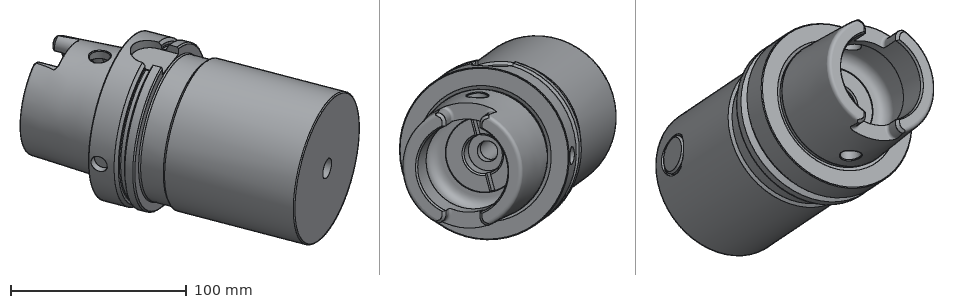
import cadquery as cq
import math

TOTAL_LENGTH = 176.9
PASSAGE_DIA = 12.0

SHANK_LENGTH = 50.0
NOSE_RADIUS = 70.4 / 2
NOSE_ROUND = 2.3
CONE_END_X = 47.2
CONE_END_RADIUS = 75.4 / 2
LAND_END_X = 48.3
RELIEF_RADIUS = 37.1
RELIEF_BEVEL = CONE_END_RADIUS - RELIEF_RADIUS
FACE_RECESS_RADIUS = 39.5
FACE_RECESS_DEPTH = 1.0

FLANGE_RADIUS = 100.0 / 2
FLANGE_FRONT_BEVEL = 0.5
FLANGE_BACK_BEVEL = 0.9
FLANGE_END_X = 78.9
GROOVE_START_X = 66.3
GROOVE_END_X = 73.0
GROOVE_WALL_X = 68.1
GROOVE_WALL_RADIUS = 48.1
GROOVE_FLOOR_END_X = 71.0
GROOVE_RADIUS = 46.0
GROOVE_FLOOR_BEVEL = 0.5

COLLAR_RADIUS = 43.9
COLLAR_END_X = 80.0
NECK_RADIUS = 43.3
BARREL_RADIUS = 90.0 / 2
BARREL_START_X = 94.1
BARREL_FRONT_BEVEL = 1.6
BARREL_END_BEVEL = 0.7

CAVITY_RADIUS = 26.5
CAVITY_MOUTH_RADIUS = 27.5
CAVITY_MOUTH_BEVEL = 1.6
CLAMP_EDGE_X = 20.7
CLAMP_RADIUS = 63.0 / 2
CLAMP_ANGLE = 60.0
CAVITY_DEPTH = 47.0
CAVITY_FLOOR_ROUND = 6.5

SLOT_WIDTH = 20.0
SLOT_TOP_DEPTH = 15.0
SLOT_BOTTOM_DEPTH = 10.3
SLOT_FLOOR_ROUND = 1.8
SLOT_MOUTH_BEVEL = 1.8
LUG_ROUND = 5.1
LUG_ROUND_Z = 26.9

CROSS_HOLE_DIA = 12.0
CROSS_HOLE_BEVEL = 0.5
CROSS_HOLE_X = 34.7
CHIP_HOLE_DIA = 10.0
CHIP_HOLE_X = 57.0
CHIP_HOLE_DEPTH = 4.6
KEYWAY_WIDTH = 22.1
KEYWAY_START_X = 54.8
KEYWAY_FLOOR_Z = 44.0

INSERT_DIA = 43.5
INSERT_SEAT_RIM_DIA = 44.0
INSERT_LENGTH = 17.7
INSERT_BORE_DIA = 22.5
INSERT_BORE_RIM_DIA = 24.5
INSERT_BORE_DEPTH = 10.6
KEY_SLOT_WIDTH = 3.0
KEY_SLOT_DEPTH = 3.5
KEY_SLOT_TILT = -15.0

SCREW_DIA = 22.5
SCREW_RIM_DIA = 24.6
SCREW_X = 157.6
SCREW_HOLE_DEPTH = 26.5
SCREW_BEVEL = 1.2


def revolve_about_x(outline):
    """Solid of revolution about X from an outline in the XY plane."""
    return outline.close().revolve(360, (0, 0, 0), (1, 0, 0))


def disc(x, diameter, length):
    """Cylinder along +X that starts at x."""
    return cq.Workplane("YZ", origin=(x, 0, 0)).circle(diameter / 2).extrude(length)


def rim_cone(x, rim_dia, hole_dia):
    """45 degree countersink along +X, from rim_dia at x down to hole_dia."""
    depth = (rim_dia - hole_dia) / 2
    return cq.Workplane("YZ", origin=(x, 0, 0)).circle(rim_dia / 2).extrude(depth, taper=45)


def outer_form():
    outline = (
        cq.Workplane("XY")
        .lineTo(0, NOSE_RADIUS)
        .lineTo(CONE_END_X, CONE_END_RADIUS)
        .lineTo(LAND_END_X, CONE_END_RADIUS)
        .lineTo(LAND_END_X + RELIEF_BEVEL, RELIEF_RADIUS)
        .lineTo(SHANK_LENGTH + FACE_RECESS_DEPTH, RELIEF_RADIUS)
        .lineTo(SHANK_LENGTH, FACE_RECESS_RADIUS)
        .lineTo(SHANK_LENGTH, FLANGE_RADIUS - FLANGE_FRONT_BEVEL)
        .lineTo(SHANK_LENGTH + FLANGE_FRONT_BEVEL, FLANGE_RADIUS)
        .lineTo(GROOVE_START_X, FLANGE_RADIUS)
        .lineTo(GROOVE_WALL_X, GROOVE_WALL_RADIUS)
        .lineTo(GROOVE_WALL_X, GROOVE_RADIUS + GROOVE_FLOOR_BEVEL)
        .lineTo(GROOVE_WALL_X + GROOVE_FLOOR_BEVEL, GROOVE_RADIUS)
        .lineTo(GROOVE_FLOOR_END_X, GROOVE_RADIUS)
        .lineTo(GROOVE_END_X, FLANGE_RADIUS)
        .lineTo(FLANGE_END_X - FLANGE_BACK_BEVEL, FLANGE_RADIUS)
        .lineTo(FLANGE_END_X, FLANGE_RADIUS - FLANGE_BACK_BEVEL)
        .lineTo(FLANGE_END_X, COLLAR_RADIUS)
        .lineTo(COLLAR_END_X, NECK_RADIUS)
        .lineTo(BARREL_START_X, NECK_RADIUS)
        .lineTo(BARREL_START_X + BARREL_FRONT_BEVEL, BARREL_RADIUS)
        .lineTo(TOTAL_LENGTH - BARREL_END_BEVEL, BARREL_RADIUS)
        .lineTo(TOTAL_LENGTH, BARREL_RADIUS - BARREL_END_BEVEL)
        .lineTo(TOTAL_LENGTH, 0)
    )
    return revolve_about_x(outline).faces("<X").edges().fillet(NOSE_ROUND)


def shank_cavity():
    shoulder_length = (CLAMP_RADIUS - CAVITY_RADIUS) / math.tan(math.radians(CLAMP_ANGLE))
    outline = (
        cq.Workplane("XY")
        .lineTo(0, CAVITY_MOUTH_RADIUS)
        .lineTo(CAVITY_MOUTH_BEVEL, CAVITY_RADIUS)
        .lineTo(CLAMP_EDGE_X, CAVITY_RADIUS)
        .lineTo(CLAMP_EDGE_X + shoulder_length, CLAMP_RADIUS)
        .lineTo(CAVITY_DEPTH, CLAMP_RADIUS)
        .lineTo(CAVITY_DEPTH, 0)
    )
    return revolve_about_x(outline).faces(">X").edges().fillet(CAVITY_FLOOR_ROUND)


def slot_section(x, lug_round):
    """Closed slot outline at x: straight walls, then rounds over the lugs, ending on radial lines."""
    round_y = SLOT_WIDTH / 2 + LUG_ROUND
    wall_y = round_y - lug_round
    inner_z = CAVITY_RADIUS / 2
    radial_y = round_y / math.hypot(round_y, LUG_ROUND_Z)
    radial_z = LUG_ROUND_Z / math.hypot(round_y, LUG_ROUND_Z)
    crown = (round_y, LUG_ROUND_Z + lug_round)
    round_end = (round_y + lug_round * radial_y, LUG_ROUND_Z + lug_round * radial_z)
    outer = (FLANGE_RADIUS * radial_y, FLANGE_RADIUS * radial_z)
    return (
        cq.Workplane("YZ", origin=(x, 0, 0))
        .moveTo(wall_y, inner_z)
        .lineTo(wall_y, LUG_ROUND_Z)
        .threePointArc(crown, round_end)
        .lineTo(*outer)
        .lineTo(-outer[0], outer[1])
        .lineTo(-round_end[0], round_end[1])
        .threePointArc((-crown[0], crown[1]), (-wall_y, LUG_ROUND_Z))
        .lineTo(-wall_y, inner_z)
        .close()
    )


def cut_drive_slot(body, depth, turn):
    """Slot on the +Z side, turned about X: rounded at its floor and bevelled at the nose."""
    channel = slot_section(0, LUG_ROUND).extrude(depth)
    channel = channel.faces(">X").edges("not <Z").fillet(SLOT_FLOOR_ROUND)
    mouth_wires = [
        slot_section(0, LUG_ROUND - SLOT_MOUTH_BEVEL).val(),
        slot_section(SLOT_MOUTH_BEVEL, LUG_ROUND).val(),
    ]
    mouth = cq.Workplane(cq.Solid.makeLoft(mouth_wires, True))
    for cutter in (channel, mouth):
        body = body.cut(cutter.rotate((0, 0, 0), (1, 0, 0), turn))
    return body


def keyway():
    end_radius = KEYWAY_WIDTH / 2
    length = COLLAR_END_X - KEYWAY_START_X
    height = FLANGE_RADIUS - KEYWAY_FLOOR_Z
    return (
        cq.Workplane("XY", origin=(KEYWAY_START_X, 0, KEYWAY_FLOOR_Z))
        .moveTo(length, -end_radius)
        .lineTo(end_radius, -end_radius)
        .threePointArc((0, 0), (end_radius, end_radius))
        .lineTo(length, end_radius)
        .close()
        .extrude(height)
    )


def radial_cylinder(diameter, depth):
    """Cylinder from the +Y side of the barrel inward."""
    return (
        cq.Workplane("XZ", origin=(SCREW_X, BARREL_RADIUS, 0))
        .circle(diameter / 2)
        .extrude(depth)
    )


def screw_hole():
    """Radial hole with a 45 degree bevel below the lowest points of its rim."""
    rim_bottom_y = math.sqrt(BARREL_RADIUS**2 - (SCREW_RIM_DIA / 2) ** 2)
    rim = radial_cylinder(SCREW_RIM_DIA, BARREL_RADIUS - rim_bottom_y)
    bevel = (
        cq.Workplane("XZ", origin=(SCREW_X, rim_bottom_y, 0))
        .circle(SCREW_RIM_DIA / 2)
        .extrude((SCREW_RIM_DIA - SCREW_DIA) / 2, taper=45)
    )
    return radial_cylinder(SCREW_DIA, SCREW_HOLE_DEPTH).union(rim).union(bevel)


def cut_cross_hole(body):
    """Hole through both sides of the shank along Z, bevelled where it meets the cone."""
    hole = (
        cq.Workplane("XY", origin=(CROSS_HOLE_X, 0, 0))
        .circle(CROSS_HOLE_DIA / 2)
        .extrude(CONE_END_RADIUS, both=True)
    )
    body = body.cut(hole)
    mid_wall_z = (CLAMP_RADIUS + CONE_END_RADIUS) / 2
    for side in (1, -1):
        rim = cq.selectors.BoxSelector(
            (CROSS_HOLE_X - CROSS_HOLE_DIA, -CROSS_HOLE_DIA, side * mid_wall_z),
            (CROSS_HOLE_X + CROSS_HOLE_DIA, CROSS_HOLE_DIA, side * CONE_END_RADIUS),
        )
        body = body.edges(rim).chamfer(CROSS_HOLE_BEVEL)
    return body


def chip_hole():
    return (
        cq.Workplane("XZ", origin=(CHIP_HOLE_X, CHIP_HOLE_DEPTH - FLANGE_RADIUS, 0))
        .circle(CHIP_HOLE_DIA / 2)
        .extrude(CHIP_HOLE_DEPTH)
    )


def insert_seat():
    seat = disc(CAVITY_DEPTH, INSERT_DIA, INSERT_LENGTH)
    return seat.union(rim_cone(CAVITY_DEPTH, INSERT_SEAT_RIM_DIA, INSERT_DIA))


def build_housing():
    body = outer_form().cut(shank_cavity())
    body = cut_drive_slot(body, SLOT_TOP_DEPTH, 0)
    body = cut_drive_slot(body, SLOT_BOTTOM_DEPTH, 180)
    body = cut_cross_hole(body)
    passage = disc(CAVITY_DEPTH, PASSAGE_DIA, TOTAL_LENGTH - CAVITY_DEPTH)
    for cutter in (keyway(), chip_hole(), insert_seat(), passage, screw_hole()):
        body = body.cut(cutter)
    return body


def build_insert():
    body = disc(CAVITY_DEPTH, INSERT_DIA, INSERT_LENGTH)
    body = body.cut(disc(CAVITY_DEPTH, PASSAGE_DIA, INSERT_LENGTH))
    body = body.cut(disc(CAVITY_DEPTH, INSERT_BORE_DIA, INSERT_BORE_DEPTH))
    body = body.cut(rim_cone(CAVITY_DEPTH, INSERT_BORE_RIM_DIA, INSERT_BORE_DIA))
    key_slot = (
        cq.Workplane("YZ", origin=(CAVITY_DEPTH, 0, 0))
        .rect(KEY_SLOT_WIDTH, INSERT_DIA)
        .extrude(KEY_SLOT_DEPTH)
        .rotate((0, 0, 0), (1, 0, 0), KEY_SLOT_TILT)
    )
    return body.cut(key_slot)


def build_screw():
    return radial_cylinder(SCREW_DIA, SCREW_HOLE_DEPTH).faces(">Y").chamfer(SCREW_BEVEL)


housing = build_housing()
insert = build_insert()
screw = build_screw()

result = cq.Compound.makeCompound([housing.val(), insert.val(), screw.val()])